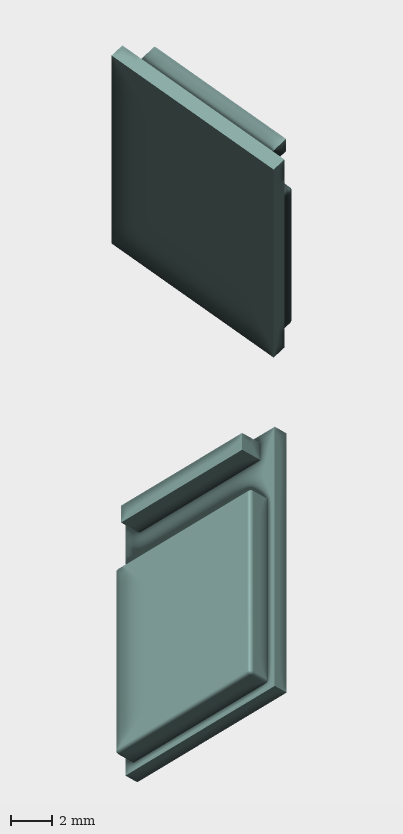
import cadquery as cq

plate_width = 10.5
plate_height = 15.5
plate_thickness = 0.8

cover_margin = 0.48
cover_height = 11.04
cover_depth = 1.2
cover_corner_radius = 0.15
cover_rim_radius = 0.2

bar_side_margin = 0.99
bar_top_margin = 0.48
bar_height = 1.0
bar_depth = 1.25


def block(width, depth, height, y_start, z_start):
    """Box centred on X, with its front face at y_start and its underside at z_start."""
    return (
        cq.Workplane("XY")
        .box(width, depth, height, centered=(True, False, False))
        .translate((0, y_start, z_start))
    )


def make_cover():
    """Cover with rounded corners and a rounded rim on its outer face."""
    cover_width = plate_width - 2 * cover_margin
    cover = block(cover_width, cover_depth, cover_height, plate_thickness, cover_margin)
    cover = cover.edges("|Y").fillet(cover_corner_radius)
    return cover.faces(">Y").edges().fillet(cover_rim_radius)


def make_bar():
    """Plain bar near the top edge of the plate."""
    bar_width = plate_width - 2 * bar_side_margin
    bar_bottom = plate_height - bar_top_margin - bar_height
    return block(bar_width, bar_depth, bar_height, plate_thickness, bar_bottom)


plate = block(plate_width, plate_thickness, plate_height, 0, 0)
result = plate.union(make_cover()).union(make_bar())